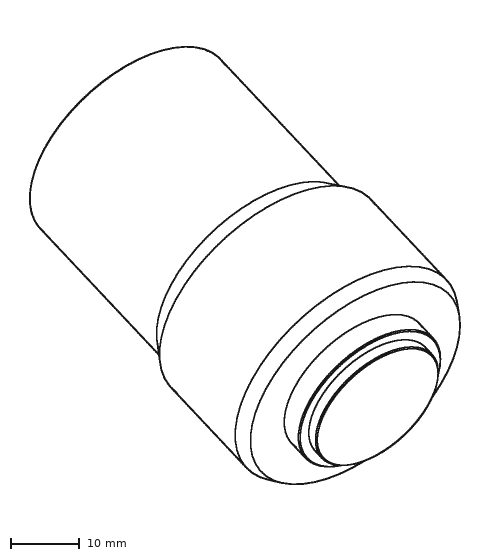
import cadquery as cq

total_length = 61.95
body_end = 31.85
cone_end = 35.3
head_end = 56.4
collar_end = 60.1

body_radius = 18.0
head_radius = 20.0
collar_radius = 12.75
tip_radius = 11.0

head_bevel_length = 2.15
head_bevel_depth = 1.2
small_chamfer = 0.2


def disc(start, end, radius):
    """Solid cylinder along X between two stations."""
    return cq.Workplane("YZ", origin=(start, 0, 0)).circle(radius).extrude(end - start)


def make_housing():
    """Body, cone and head, revolved about X; the head's rear rim is beveled."""
    return (
        cq.Workplane("XY")
        .lineTo(0, body_radius - small_chamfer)
        .lineTo(small_chamfer, body_radius)
        .lineTo(body_end, body_radius)
        .lineTo(cone_end, head_radius)
        .lineTo(head_end - head_bevel_length, head_radius)
        .lineTo(head_end, head_radius - head_bevel_depth)
        .lineTo(head_end, 0)
        .close()
        .revolve(360, (0, 0, 0), (1, 0, 0))
    )


def make_spigot():
    """Stepped spigot behind the head, with both outer rims chamfered."""
    collar = disc(head_end, collar_end, collar_radius).faces(">X").chamfer(small_chamfer)
    tip = disc(collar_end, total_length, tip_radius).faces(">X").chamfer(small_chamfer)
    return collar.union(tip)


result = make_housing().union(make_spigot())